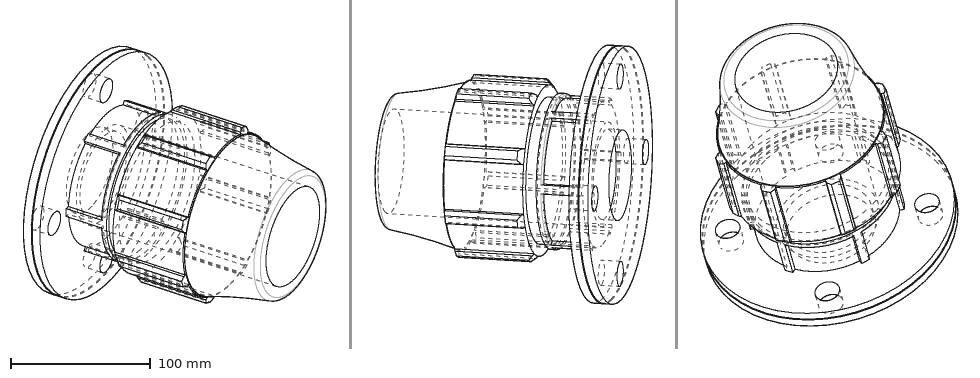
import cadquery as cq

total_length = 169.0

flange_diameter = 185
flange_thickness = 13.9
joint_width = 0.5
joint_depth = 0.4
bolt_hole_diameter = 18.0
bolt_circle_diameter = 145.0
bolt_count = 4

sleeve_diameter = 105.6
collar_diameter = 112.1
collar_start = 42.7
collar_end = 47.5
collar_fillet = 1.3
web_width = 6.7
web_count = 6

nut_start = 56.0
nut_end = 115.0
nut_radius = 61.5
nut_chamfer = 0.7
rib_top_radius = 65.9
rib_edge_radius = 62.9
rib_width = 11.5
rib_top_width = 6.7
rib_front_slope = 4.0
rib_back_slope = 1.5
rib_count = 8

nose_start_radius = 60.3
nose_middle_radius = 53.3
nose_end_radius = 48.7
nose_middle = 142.5
nose_fillet = 3.7

bore_diameter = 65.0
seat_diameter = 75.0
seat_start = 11.3


def cylinder(diameter, start, end):
    """Solid cylinder on the X axis between two stations."""
    return cq.Workplane("YZ").workplane(offset=start).circle(diameter / 2).extrude(end - start)


def repeat_about_axis(feature, count, first_angle=0):
    """Join evenly spaced copies of a feature turned about the X axis."""
    copies = cq.Workplane("XY")
    for index in range(count):
        angle = first_angle + index * 360 / count
        copies = copies.add(feature.rotate((0, 0, 0), (1, 0, 0), angle))
    return copies.combine()


def make_flange():
    flange = cylinder(flange_diameter, 0, flange_thickness)
    joint_start = (flange_thickness - joint_width) / 2
    joint_end = joint_start + joint_width
    joint = cylinder(flange_diameter, joint_start, joint_end).cut(
        cylinder(flange_diameter - 2 * joint_depth, joint_start, joint_end)
    )
    bolt_holes = (
        cq.Workplane("YZ")
        .polarArray(bolt_circle_diameter / 2, 0, 360, bolt_count)
        .circle(bolt_hole_diameter / 2)
        .extrude(flange_thickness)
    )
    return flange.cut(joint).cut(bolt_holes)


def make_sleeve():
    sleeve = cylinder(sleeve_diameter, flange_thickness, nut_start)
    collar = cylinder(collar_diameter, collar_start, collar_end).faces("<X").edges().fillet(collar_fillet)
    web_length = collar_end - flange_thickness
    web = (
        cq.Workplane("XY")
        .box(web_length, collar_diameter / 2, web_width, centered=(False, False, True))
        .translate((flange_thickness, 0, 0))
    )
    webs = repeat_about_axis(web, web_count).intersect(
        cylinder(collar_diameter, flange_thickness, collar_end)
    )
    return sleeve.union(collar).union(webs)


def make_rib():
    """Grip rib along +Y: bevelled along both sides and sloped at both ends."""
    section = (
        cq.Workplane("YZ")
        .workplane(offset=nut_start)
        .polyline(
            [
                (0, -rib_width / 2),
                (rib_edge_radius, -rib_width / 2),
                (rib_top_radius, -rib_top_width / 2),
                (rib_top_radius, rib_top_width / 2),
                (rib_edge_radius, rib_width / 2),
                (0, rib_width / 2),
            ]
        )
        .close()
        .extrude(nut_end - nut_start)
    )
    side_profile = (
        cq.Workplane("XY")
        .polyline(
            [
                (nut_start, 0),
                (nut_start, nut_radius),
                (nut_start + rib_front_slope, rib_top_radius),
                (nut_end - rib_back_slope, rib_top_radius),
                (nut_end, nose_start_radius),
                (nut_end, 0),
            ]
        )
        .close()
        .extrude(rib_width / 2, both=True)
    )
    return section.intersect(side_profile)


def make_nut():
    body = cylinder(2 * nut_radius, nut_start, nut_end).faces(">X").edges().chamfer(nut_chamfer)
    ribs = repeat_about_axis(make_rib(), rib_count, 180 / rib_count)
    return body.union(ribs)


def make_nose():
    nose = (
        cq.Workplane("XY")
        .moveTo(nut_end, 0)
        .lineTo(nut_end, nose_start_radius)
        .threePointArc((nose_middle, nose_middle_radius), (total_length, nose_end_radius))
        .lineTo(total_length, 0)
        .close()
        .revolve(360, (0, 0, 0), (1, 0, 0))
    )
    return nose.faces(">X").edges().fillet(nose_fillet)


bore = cylinder(bore_diameter, 0, seat_start).union(cylinder(seat_diameter, seat_start, total_length))
result = make_flange().union(make_sleeve()).union(make_nut()).union(make_nose()).cut(bore)